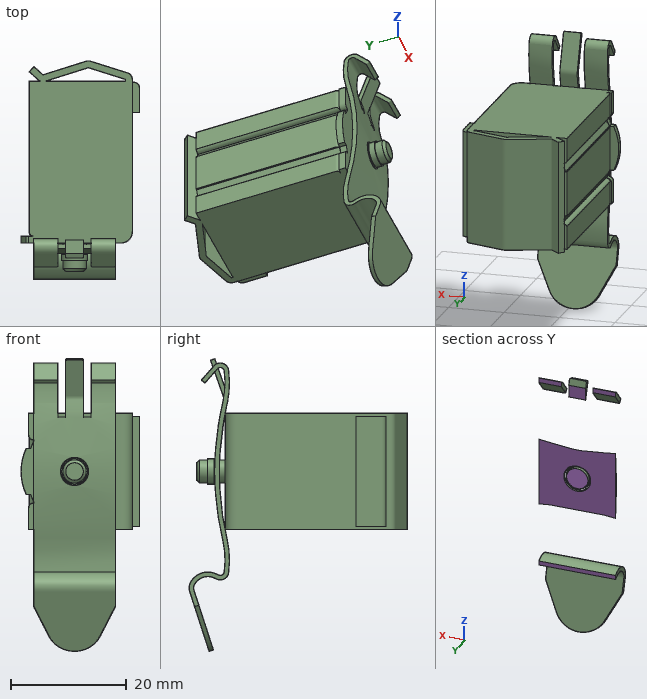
import cadquery as cq
import math


sheet = 1.2
housing_half_height = 10.05
housing_depth = 27.85
housing_right = 10.0
block_left = -7.8
plate_left = -7.95
right_corner_radius = 2.0
block_corner_radius = 0.65
disc_radius = 9.2

groove_near = 4.0
groove_far = 5.4
groove_lip_radius = 1.0
groove_ledge = 0.4

flange_half_height = 9.45
flange_depth = 5.25
flange_back = 27.7
flange_corner_radius = 1.0

spring_start_depth = 26.7
spring_upright = 1.4
spring_slope = 17.5
spring_roof_right = 6.65
spring_roof_left = 7.75
spring_lip = 2.05
spring_lip_angle = 42.0
spring_bend_radius = 0.65

pin_radius = 2.0
pin_length = 4.9
pin_chamfer = 0.5
collar_radius = 2.2
collar_start = 1.9
collar_end = 3.0

leaf = 0.8
leaf_width = 14.1
pin_hole_radius = 2.4
crown_gap = 1.0
crown_turn = 13.3
back_bend_radius = 15.35
back_bend_turn = 21.3
hook_radius = 1.05
slot_floor = 9.25
tip_corner_radius = 0.25

side_tab_inner = 2.85
side_tab_tail = 3.25
side_tab_tail_slope = 48.5

center_tab_width = 3.1
center_tab_crown_turn = 13.9
center_tab_bend_radius = 1.55
center_tab_lean = 19.5
center_tab_length = 6.55

valley_rise = 25.0
valley_length = 0.45
knuckle_radius = 3.0
knuckle_turn = 86.0
elbow_radius = 1.6
blade_lean = 18.0
blade_length = 10.85
blade_taper_length = 8.1
blade_tip_radius = 4.95
blade_taper_angle = 26.0

crown_back_radius = (housing_half_height**2 + crown_gap**2) / (2 * crown_gap)
crown_radius = crown_back_radius + leaf / 2
crown_start = (-crown_gap - leaf / 2, 0)


def direction(angle):
    """Unit vector at an angle in degrees."""
    return math.cos(math.radians(angle)), math.sin(math.radians(angle))


def shifted(point, angle, distance):
    """The point moved by a distance along an angle."""
    dx, dy = direction(angle)
    return point[0] + distance * dx, point[1] + distance * dy


def line(length):
    return ("line", length, 0)


def bend(radius, turn):
    """A bend of the middle line; a positive turn is to the left."""
    return ("bend", radius, turn)


def follow(start, heading, moves):
    """Middle-line stations (point, heading) at the start, then a middle and an end per move.

    A straight move has None as its middle.
    """
    point = start
    stations = [(point, heading)]
    for kind, size, turn in moves:
        if kind == "line":
            point = shifted(point, heading, size)
            stations += [None, (point, heading)]
            continue
        side = math.copysign(90, turn)
        center = shifted(point, heading + side, size)
        for _ in range(2):
            heading += turn / 2
            point = shifted(center, heading - side, size)
            stations.append((point, heading))
    return stations


def bent_strip(plane, start, heading, moves, thickness):
    """Closed outline of a bent sheet of even thickness, seen edge-on."""
    stations = follow(start, heading, moves)

    def side(distance):
        return [s and shifted(s[0], s[1] + 90, distance) for s in stations]

    def trace(outline, points):
        for middle, end in zip(points[1::2], points[2::2]):
            outline = outline.threePointArc(middle, end) if middle else outline.lineTo(*end)
        return outline

    left = side(thickness / 2)
    right = side(-thickness / 2)[::-1]
    outline = trace(cq.Workplane(plane).moveTo(*left[0]), left)
    outline = trace(outline.lineTo(*right[0]), right)
    return outline.close()


def slab(x_range, y_range, half_height):
    """A block centred on Z = 0."""
    width = x_range[1] - x_range[0]
    depth = y_range[1] - y_range[0]
    block = cq.Workplane("XY").box(width, depth, 2 * half_height, centered=(False, False, True))
    return block.translate((x_range[0], y_range[0], 0))


def along_y(outline, y_start, y_end):
    """Extrudes an outline drawn on the XZ plane from one Y to another."""
    return outline.extrude(y_start - y_end).translate((0, y_start, 0))


def make_groove():
    """Upper groove, open to the left; its far wall ends in a rounded lip."""
    outside = -disc_radius - 0.5
    lip_x = plate_left + groove_lip_radius
    lip_z = groove_far + groove_lip_radius
    lip_middle = shifted((lip_x, lip_z), 225, groove_lip_radius)
    outline = (
        cq.Workplane("XZ")
        .moveTo(outside, groove_near)
        .lineTo(plate_left + groove_ledge, groove_near)
        .lineTo(lip_x, groove_far)
        .threePointArc(lip_middle, (plate_left, lip_z))
        .lineTo(outside, lip_z)
        .close()
    )
    return along_y(outline, 0, housing_depth)


def make_back_spring():
    roof_turn = 90 - spring_slope
    lip_turn = -(spring_slope + spring_lip_angle)
    moves = [
        line(spring_upright),
        bend(spring_bend_radius, roof_turn),
        line(spring_roof_right),
        bend(spring_bend_radius, 2 * spring_slope),
        line(spring_roof_left),
        bend(spring_bend_radius, lip_turn),
        line(spring_lip),
    ]
    start = (housing_right - sheet / 2, spring_start_depth)
    strip = bent_strip("XY", start, 90, moves, sheet)
    return strip.extrude(housing_half_height, both=True)


def make_flange():
    flange = slab(
        (housing_right, housing_right + sheet),
        (flange_back - flange_depth, flange_back),
        flange_half_height,
    )
    return flange.edges("|Z and >X and >Y").fillet(flange_corner_radius)


def make_pin():
    shaft = along_y(cq.Workplane("XZ").circle(pin_radius), 0, -pin_length)
    shaft = shaft.faces("<Y").chamfer(pin_chamfer)
    collar = along_y(cq.Workplane("XZ").circle(collar_radius), -collar_start, -collar_end)
    return shaft.union(collar)


def make_disc_bulge():
    """Half disc whose rim stands out past the plate's left edge."""
    outline = (
        cq.Workplane("XZ")
        .moveTo(0, -disc_radius)
        .threePointArc((-disc_radius, 0), (0, disc_radius))
        .close()
    )
    return along_y(outline, sheet, 0)


def make_housing():
    block = slab((block_left, housing_right), (sheet, housing_depth), housing_half_height)
    block = block.edges("|Z and <X and <Y").fillet(block_corner_radius)
    plate = slab((plate_left, housing_right), (0, sheet), housing_half_height)
    body = block.union(plate).edges("|Z and >X and <Y").fillet(right_corner_radius)
    body = body.union(make_disc_bulge())
    groove = make_groove()
    body = body.cut(groove).cut(groove.mirror("XY"))
    return body.union(make_back_spring()).union(make_flange()).union(make_pin())


def leaf_strip(heading, moves, x_start, x_end):
    """A stretch of the leaf that starts at the pin axis, between two X positions."""
    strip = bent_strip("YZ", crown_start, heading, moves, leaf)
    return strip.extrude(x_end - x_start).translate((x_start, 0, 0))


def round_tip(strip, heading):
    """Rounds the two corners at the tip of a strip that ends along the heading."""
    across = cq.Vector(0, *direction(heading + 90))
    return strip.edges(cq.selectors.ParallelDirSelector(across)).fillet(tip_corner_radius)


def make_side_tab(x_start, x_end):
    heading_up = 90 - crown_turn + back_bend_turn
    tail_heading = 180 + side_tab_tail_slope
    moves = [
        bend(crown_radius, -crown_turn),
        bend(back_bend_radius, back_bend_turn),
        bend(hook_radius, tail_heading - heading_up),
        line(side_tab_tail),
    ]
    return round_tip(leaf_strip(90, moves, x_start, x_end), tail_heading)


def make_center_tab():
    moves = [
        bend(crown_radius, -center_tab_crown_turn),
        bend(center_tab_bend_radius, center_tab_crown_turn + center_tab_lean),
        line(center_tab_length),
    ]
    strip = leaf_strip(90, moves, -center_tab_width / 2, center_tab_width / 2)
    return round_tip(strip, 90 + center_tab_lean)


def make_tip_corners(tip):
    """Material outside the tapered, rounded blade tip, square to the blade."""
    heading = blade_lean - 90
    half_width = leaf_width / 2
    plane = cq.Plane(
        origin=(0, *tip),
        xDir=(1, 0, 0),
        normal=(0, *direction(heading - 90)),
    )
    cos_taper, sin_taper = direction(blade_taper_angle)
    shoulder_x = blade_tip_radius * cos_taper
    shoulder_y = blade_tip_radius * (1 - sin_taper)
    tip_corners = (
        cq.Workplane(plane)
        .moveTo(-half_width, blade_taper_length)
        .lineTo(-shoulder_x, shoulder_y)
        .threePointArc((0, 0), (shoulder_x, shoulder_y))
        .lineTo(half_width, blade_taper_length)
        .lineTo(half_width, -leaf)
        .lineTo(-half_width, -leaf)
        .close()
    )
    return tip_corners.extrude(leaf, both=True)


def make_lever():
    """Lower half of the leaf, down to the thumb blade."""
    hook_heading = crown_turn - back_bend_turn - 90
    valley_heading = -180 - valley_rise
    blade_heading = blade_lean - 90
    elbow_turn = blade_heading - valley_heading - knuckle_turn
    moves = [
        bend(crown_radius, crown_turn),
        bend(back_bend_radius, -back_bend_turn),
        bend(hook_radius, valley_heading - hook_heading),
        line(valley_length),
        bend(knuckle_radius, knuckle_turn),
        bend(elbow_radius, elbow_turn),
        line(blade_length),
    ]
    lever = leaf_strip(-90, moves, -leaf_width / 2, leaf_width / 2)
    tip = follow(crown_start, -90, moves)[-1][0]
    return lever.cut(make_tip_corners(tip))


def make_latch():
    half_width = leaf_width / 2
    slot_turn = math.degrees(math.asin(slot_floor / crown_radius))
    web = leaf_strip(90, [bend(crown_radius, -slot_turn)], -half_width, half_width)
    latch = make_lever().union(web).union(make_center_tab())
    latch = latch.union(make_side_tab(-half_width, -side_tab_inner))
    latch = latch.union(make_side_tab(side_tab_inner, half_width))
    hole = along_y(cq.Workplane("XZ").circle(pin_hole_radius), 0, -pin_length)
    return latch.cut(hole)


housing = make_housing()
latch = make_latch()
result = cq.Compound.makeCompound([housing.val(), latch.val()])